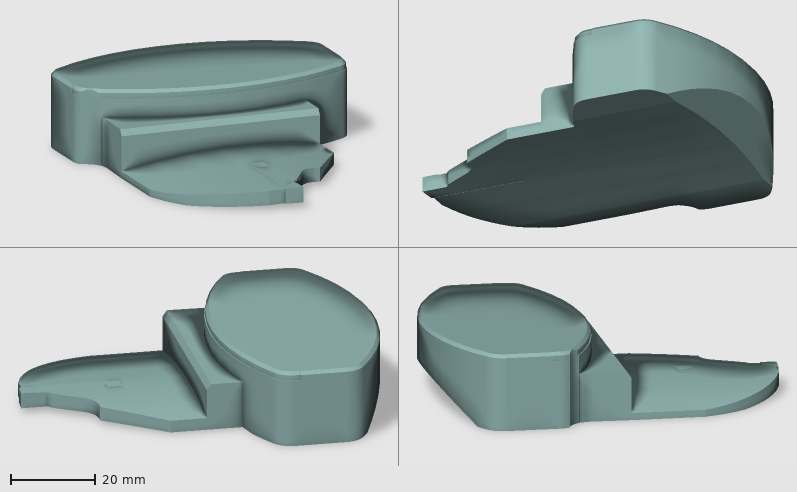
import cadquery as cq
import math

head_width = 40.1
head_length = 70.0
head_height = 18.65
left_bow_radius = 59.3
right_bow_radius = 64.5
corner_radius = 5.25
rim_chamfer = 0.8
left_bevel_height = 8.1

rim_inset = 0.3
inset_start_x = 25.45
inset_bottom_z = 16.6

shoulder_start_x = 19.8
shoulder_end_x = 45.2
shoulder_height = 11.9
shoulder_chamfer_x = 1.0
shoulder_chamfer_z = 1.5
back_y = 21.0
front_y = -30.0

relief_radius = 6.0
relief_x = 35.3
relief_depth = 0.35

blade_crest_z = 4.9
blade_top_radius = 142.7
underside_rise = 1.3
underside_half_chord = 24.9
blade_tip_x = 84.9
slope_start_x = 54.1
neck_x = 69.1
slope_end_y = 11.3
hollow_start_y = 9.6
hollow_middle = (69.9, 7.4)
hollow_end = (71.6, 5.6)
insert_slope_x = 78.5
nose_start_y = -8.3
nose_middle = (78.6, -20.3)
nose_end_x = 63.0

insert_left_x = 61.1
insert_right_x = 86.0
insert_front_y = -4.3
insert_back_y = 0.1
insert_end_taper = 0.35
boss_back_y = 1.4
boss_base_half_width = 6.0
boss_top_half_width = 5.0
pad_length = 3.95
pad_side_depth = 2.5
pad_tip_depth = 3.95
pad_height = 0.2


def bow_depth(radius):
    """Sagitta of a bowed side over the full head length."""
    half_length = head_length / 2
    return radius - math.sqrt(radius**2 - half_length**2)


def head_block(inset=0.0):
    """Full-height head, its sides moved in by inset, with the rim chamfered."""
    half_length = head_length / 2
    left_corner_x = bow_depth(left_bow_radius)
    right_corner_x = head_width - bow_depth(right_bow_radius)
    outline = (
        cq.Workplane("XY")
        .moveTo(left_corner_x, half_length)
        .lineTo(right_corner_x, half_length)
        .threePointArc((head_width, 0), (right_corner_x, -half_length))
        .lineTo(left_corner_x, -half_length)
        .threePointArc((0, 0), (left_corner_x, half_length))
        .close()
    )
    if inset:
        outline = outline.offset2D(-inset)
    return (
        outline.extrude(head_height)
        .edges("|Z")
        .fillet(corner_radius - inset)
        .faces(">Z")
        .chamfer(rim_chamfer)
    )


def make_head():
    inset_zone = cq.Workplane("XY").box(
        head_width, head_length, head_height, centered=(False, True, False)
    ).translate((inset_start_x, 0, inset_bottom_z))
    inset_rim = head_block(rim_inset).intersect(inset_zone)
    head = head_block().cut(inset_zone).union(inset_rim)
    bevel = (
        cq.Workplane("XZ")
        .polyline([(0, 0), (left_bevel_height, 0), (0, left_bevel_height)])
        .close()
        .extrude(head_length / 2, both=True)
    )
    return head.cut(bevel)


def make_shoulder():
    return (
        cq.Workplane("XZ", origin=(0, back_y, 0))
        .moveTo(shoulder_start_x, 0)
        .lineTo(shoulder_end_x, 0)
        .lineTo(shoulder_end_x, shoulder_height - shoulder_chamfer_z)
        .lineTo(shoulder_end_x - shoulder_chamfer_x, shoulder_height)
        .lineTo(shoulder_start_x, shoulder_height)
        .close()
        .extrude(back_y - front_y)
    )


def cylinder_along_x(radius, crest_z):
    return (
        cq.Workplane("YZ")
        .center(0, crest_z - radius)
        .circle(radius)
        .extrude(insert_right_x)
    )


def make_blade():
    plan = (
        cq.Workplane("XY")
        .moveTo(shoulder_start_x, front_y)
        .lineTo(shoulder_start_x, back_y)
        .lineTo(slope_start_x, back_y)
        .lineTo(neck_x, slope_end_y)
        .lineTo(neck_x, hollow_start_y)
        .threePointArc(hollow_middle, hollow_end)
        .lineTo(insert_slope_x, boss_back_y)
        .lineTo(insert_slope_x, insert_front_y)
        .lineTo(blade_tip_x, insert_front_y)
        .lineTo(blade_tip_x, nose_start_y)
        .threePointArc(nose_middle, (nose_end_x, front_y))
        .close()
        .extrude(head_height)
    )
    return plan.intersect(cylinder_along_x(blade_top_radius, blade_crest_z))


def insert_prism(bottom_z, top_z):
    middle_x = (insert_left_x + insert_right_x) / 2
    return (
        cq.Workplane("XY", origin=(0, 0, bottom_z))
        .polyline([
            (insert_left_x + insert_end_taper, insert_front_y),
            (insert_left_x, insert_back_y),
            (middle_x - boss_base_half_width, insert_back_y),
            (middle_x - boss_top_half_width, boss_back_y),
            (middle_x + boss_top_half_width, boss_back_y),
            (middle_x + boss_base_half_width, insert_back_y),
            (insert_right_x, insert_back_y),
            (insert_right_x - insert_end_taper, insert_front_y),
        ])
        .close()
        .extrude(top_z - bottom_z)
    )


def corner_pad(end_x, inward):
    """Raised cutting corner at one end; inward is +1 or -1 along X."""
    inner_x = end_x + inward * pad_length
    tip_x = end_x + inward * insert_end_taper
    return (
        cq.Workplane("XY", origin=(0, 0, blade_crest_z))
        .polyline([
            (end_x, insert_back_y),
            (inner_x, insert_back_y),
            (inner_x, insert_back_y - pad_side_depth),
            (tip_x, insert_back_y - pad_tip_depth),
        ])
        .close()
        .extrude(pad_height)
    )


def make_insert():
    insert = insert_prism(underside_rise, blade_crest_z)
    for end_x, inward in ((insert_left_x, 1), (insert_right_x, -1)):
        insert = insert.union(corner_pad(end_x, inward))
    return insert


def make_relief():
    """Full-height round cutter with a flat side that tapers along the shoulder."""
    tangent_y = front_y + relief_depth
    centre_y = tangent_y - relief_radius
    return (
        cq.Workplane("XY")
        .moveTo(relief_x, centre_y)
        .lineTo(relief_x - relief_radius, centre_y)
        .radiusArc((relief_x, tangent_y), relief_radius)
        .lineTo(shoulder_end_x, front_y)
        .close()
        .extrude(head_height)
    )


def make_holder():
    holder = make_head().union(make_shoulder()).union(make_blade())
    underside_radius = (underside_half_chord**2 + underside_rise**2) / (2 * underside_rise)
    holder = holder.cut(cylinder_along_x(underside_radius, underside_rise))
    return holder.cut(make_relief()).cut(insert_prism(0, head_height))


holder = make_holder()
insert = make_insert()

result = cq.Compound.makeCompound([holder.solids().val(), insert.solids().val()])